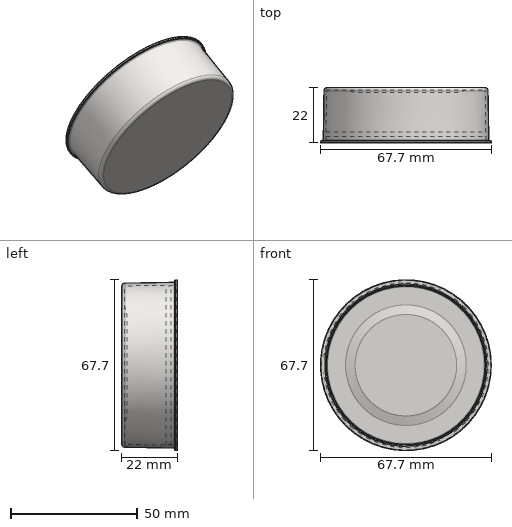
import cadquery as cq
import math

RIM_RADIUS = 33.85
DEPTH = 22.0
FLOOR_THICKNESS = 1.0

FLANGE_THICKNESS = 1.0
FLANGE_CHAMFER = 0.3
FLANGE_FOOT_FILLET = 0.3

WALL_FOOT_RADIUS = 32.9
WALL_END_RADIUS = 32.6
END_FILLET = 1.4

MOUTH_RADIUS = 31.7
MOUTH_CHAMFER_WIDTH = 0.5
MOUTH_CHAMFER_DEPTH = 0.3
BORE_END_RADIUS = 31.4
FLOOR_FILLET = 0.4

BEAD_CENTER = 3.45
BEAD_HALF_WIDTH = 0.95
BEAD_HEIGHT = 0.35

DISC_BASE_RADIUS = 23.9
DISC_TOP_RADIUS = 20.1
DISC_HEIGHT = 1.0

FLOOR_Y = DEPTH - FLOOR_THICKNESS


def bore_radius(y):
    """Inner wall radius at distance y behind the rim face."""
    return MOUTH_RADIUS + (BORE_END_RADIUS - MOUTH_RADIUS) * y / FLOOR_Y


def revolve(profile):
    """Turn a closed (radius, y) profile around the Y axis."""
    return profile.close().revolve(360, (0, 0), (0, 1))


def outer_body():
    arc_inset = FLANGE_FOOT_FILLET * (1 - math.sqrt(0.5))
    body = revolve(
        cq.Workplane("XY")
        .lineTo(RIM_RADIUS, 0)
        .lineTo(RIM_RADIUS, FLANGE_THICKNESS - FLANGE_CHAMFER)
        .lineTo(RIM_RADIUS - FLANGE_CHAMFER, FLANGE_THICKNESS)
        .lineTo(WALL_FOOT_RADIUS + FLANGE_FOOT_FILLET, FLANGE_THICKNESS)
        .threePointArc(
            (WALL_FOOT_RADIUS + arc_inset, FLANGE_THICKNESS + arc_inset),
            (WALL_FOOT_RADIUS, FLANGE_THICKNESS + FLANGE_FOOT_FILLET),
        )
        .lineTo(WALL_END_RADIUS, DEPTH)
        .lineTo(0, DEPTH)
    )
    return body.faces(">Y").edges().fillet(END_FILLET)


def cavity():
    hollow = revolve(
        cq.Workplane("XY")
        .lineTo(MOUTH_RADIUS + MOUTH_CHAMFER_WIDTH, 0)
        .lineTo(bore_radius(MOUTH_CHAMFER_DEPTH), MOUTH_CHAMFER_DEPTH)
        .lineTo(BORE_END_RADIUS, FLOOR_Y)
        .lineTo(0, FLOOR_Y)
    )
    return hollow.faces(">Y").edges().fillet(FLOOR_FILLET)


def snap_bead():
    front = BEAD_CENTER - BEAD_HALF_WIDTH
    back = BEAD_CENTER + BEAD_HALF_WIDTH
    root_radius = (MOUTH_RADIUS + WALL_END_RADIUS) / 2
    return revolve(
        cq.Workplane("XY")
        .moveTo(root_radius, front)
        .lineTo(bore_radius(front), front)
        .threePointArc(
            (bore_radius(BEAD_CENTER) - BEAD_HEIGHT, BEAD_CENTER),
            (bore_radius(back), back),
        )
        .lineTo(root_radius, back)
    )


def floor_disc():
    overlap_y = FLOOR_Y + FLOOR_THICKNESS / 2
    return revolve(
        cq.Workplane("XY")
        .moveTo(0, FLOOR_Y - DISC_HEIGHT)
        .lineTo(DISC_TOP_RADIUS, FLOOR_Y - DISC_HEIGHT)
        .lineTo(DISC_BASE_RADIUS, FLOOR_Y)
        .lineTo(DISC_BASE_RADIUS, overlap_y)
        .lineTo(0, overlap_y)
    )


result = outer_body().cut(cavity()).union(snap_bead()).union(floor_disc())